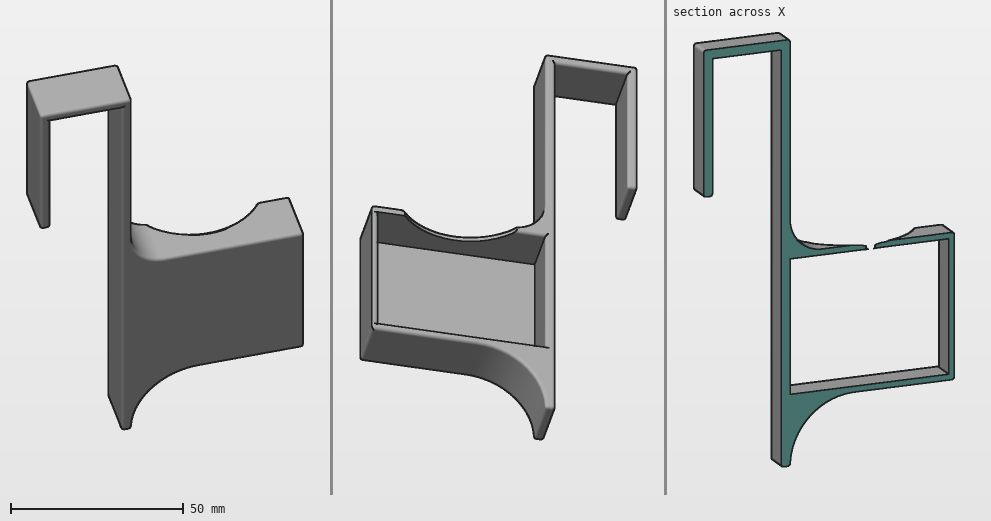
import cadquery as cq
import math

width = 16.0
depth = 79.2
height = 130.0

strip = 3.0
spine_back = 27.4
spine_front = spine_back - strip
hook_drop = 44.8

box_bottom = 20.0
box_top = 65.0
box_wall = 2.0
cavity_bottom = box_bottom + box_wall
cavity_top = box_top - box_wall
cavity_back = depth - box_wall

upper_blend = 10.0
lower_blend = box_bottom

notch_radius = 21.2
notch_x = -13.1
notch_y = 52.6

edge_round = 1.0
tolerance = 0.01


def make_body():
    """Side profile of hook, spine and box, extruded across the width."""
    diagonal = math.sqrt(0.5)
    lower_mid = (
        spine_back + lower_blend * (1 - diagonal),
        lower_blend * diagonal,
    )
    upper_mid = (
        spine_back + upper_blend * (1 - diagonal),
        box_top + upper_blend * (1 - diagonal),
    )
    return (
        cq.Workplane("YZ")
        .moveTo(spine_front, 0)
        .lineTo(spine_back, 0)
        .threePointArc(lower_mid, (spine_back + lower_blend, box_bottom))
        .lineTo(depth, box_bottom)
        .lineTo(depth, box_top)
        .lineTo(spine_back + upper_blend, box_top)
        .threePointArc(upper_mid, (spine_back, box_top + upper_blend))
        .lineTo(spine_back, height)
        .lineTo(0, height)
        .lineTo(0, height - hook_drop)
        .lineTo(strip, height - hook_drop)
        .lineTo(strip, height - strip)
        .lineTo(spine_front, height - strip)
        .close()
        .extrude(width)
    )


def make_cavity():
    """Pocket of the box, open on the X = 0 side."""
    return cq.Workplane("XY").box(
        width - box_wall,
        cavity_back - spine_back,
        cavity_top - cavity_bottom,
        centered=False,
    ).translate((0, spine_back, cavity_bottom))


def make_notch():
    """Vertical cylinder that cuts the top wall and the foot of the upper blend."""
    notch_height = upper_blend + box_wall
    return (
        cq.Workplane("XY", origin=(notch_x, notch_y, cavity_top))
        .circle(notch_radius)
        .extrude(notch_height)
    )


def near(value, target):
    return abs(value - target) < tolerance


def is_rounded(edge):
    """Tell which edges of the part are rounded."""
    box = edge.BoundingBox()
    mid = edge.Center()
    if near(box.xmin, width):
        return True
    if near(box.xlen, width):
        outer_y = near(mid.y, 0) or near(mid.y, depth)
        outer_z = near(mid.z, 0) or near(mid.z, height)
        hook_end = near(mid.z, height - hook_drop)
        return outer_y or outer_z or hook_end
    if near(box.xmax, 0):
        if near(box.ymin, cavity_back):
            return True
        end_edge = box.ymax > cavity_back - tolerance and mid.z > box_bottom + tolerance
        behind_notch = mid.y > notch_y and mid.z > cavity_bottom + tolerance
        cavity_floor_edge = near(mid.z, cavity_bottom)
        return not (end_edge or behind_notch or cavity_floor_edge)
    return edge.geomType() != "LINE" and box.zmax > box_top - tolerance


body = make_body().cut(make_cavity()).cut(make_notch())
rounded_edges = [edge for edge in body.edges().vals() if is_rounded(edge)]
result = body.newObject(rounded_edges).fillet(edge_round)